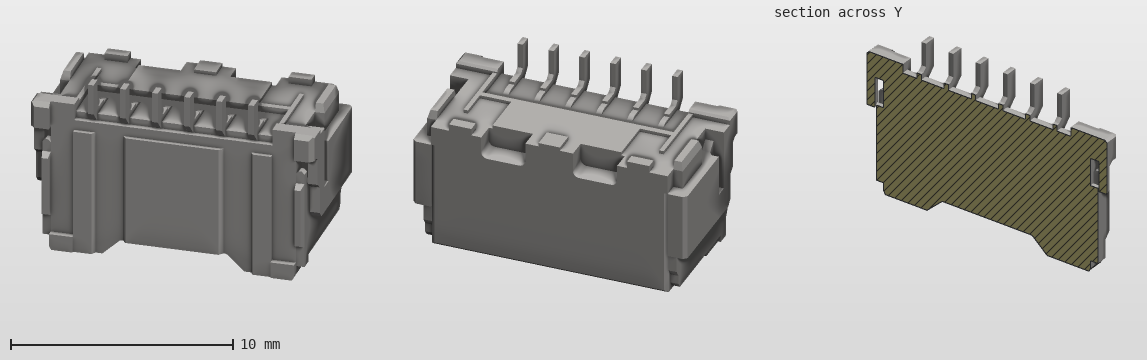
import cadquery as cq


WIDTH = 13.3
DEPTH = 6.4
HEIGHT = 8.5

HALF_WIDTH = WIDTH / 2
CORE_HALF = 5.75
PANEL_Y = 0.37
PROUD_Y = 0.07
CORE_BOTTOM = 0.77
SIDE_TOP = 6.92
ROOF_TOP = 7.08
BLOCK_TOP = 7.25
LEDGE_Z = 5.98
WALL_BOTTOM = 2.74
REAR_CHAMFER = 0.17
SKIRT_TOP = 0.95

WALL_FRONT_Y = 0.78
WALL_HEEL_Y = 1.38
WALL_SLOPE_TOP = 4.58

BAY_HALF = 4.64
BAY_BACK_Y = 2.95
BAY_FLOOR = 6.78
BAY_STEP_Y = 0.65
BAY_FRONT_FLOOR = 6.46

PLATE_HALF = 6.15
PLATE_TOP = 5.32

PIN_COUNT = 6
PIN_PITCH = 1.5
PIN_WIDTH = 0.27
PIN_POST_DEPTH = 0.63

NOTCH_INNER = 1.16
NOTCH_OUTER = 3.3
NOTCH_FRONT_Y = 5.48
NOTCH_FLOOR = 5.98
NOTCH_TILT = 8.0
NOTCH_RADIUS = 0.29


def box(x0, x1, y0, y1, z0, z1):
    """Axis-aligned box between two opposite corners."""
    return cq.Workplane("XY").box(x1 - x0, y1 - y0, z1 - z0, centered=False).translate((x0, y0, z0))


def side_profile(points, x0, x1):
    """Extrude an outline given as (y, z) points from x0 to x1."""
    return cq.Workplane("YZ").polyline(points).close().extrude(x1 - x0).translate((x0, 0, 0))


def front_profile(points):
    """Extrude an outline given as (x, z) points through the full depth."""
    return cq.Workplane("XZ").polyline(points).close().extrude(-DEPTH)


def plan_profile(points, z0, z1):
    """Extrude an outline given as (x, y) points from z0 to z1."""
    return cq.Workplane("XY").polyline(points).close().extrude(z1 - z0).translate((0, 0, z0))


def both_sides(shape):
    """Join a shape on the +X side with its mirror image."""
    return shape.union(shape.mirror("YZ"))


def core():
    """Central block with chamfered rear corners below the ledge."""
    bottom_chamfer = 0.13
    lower = box(-CORE_HALF, CORE_HALF, PANEL_Y, DEPTH, CORE_BOTTOM, LEDGE_Z)
    lower = lower.edges("|Z and >Y").chamfer(REAR_CHAMFER)
    lower = lower.edges("<Z and >Y").chamfer(bottom_chamfer)
    upper = box(-CORE_HALF, CORE_HALF, PANEL_Y, DEPTH, LEDGE_Z, SIDE_TOP)
    return lower.union(upper)


def skirt():
    """Front skirt below the housing, with a wide trapezoid gap in the middle."""
    back_y = 1.72
    slope_bottom = 0.65
    slope_back_y = 2.02
    gap_half = 2.49
    gap_foot_half = 3.32
    gap_radius = 0.2
    bottom_chamfer = 0.2
    side_chamfer = 0.1
    outline = [
        (PANEL_Y, 0), (back_y - bottom_chamfer, 0), (back_y, bottom_chamfer),
        (back_y, slope_bottom), (slope_back_y, SKIRT_TOP), (PANEL_Y, SKIRT_TOP),
    ]
    foot = both_sides(box(BAY_HALF, CORE_HALF, PROUD_Y, back_y - bottom_chamfer, 0, CORE_BOTTOM))
    body = side_profile(outline, -CORE_HALF, CORE_HALF).union(foot)
    end_bevel = front_profile(
        [(CORE_HALF - side_chamfer, 0), (CORE_HALF, bottom_chamfer), (CORE_HALF, 0)]
    )
    gap = front_profile(
        [(-gap_foot_half, 0), (gap_foot_half, 0), (gap_half, CORE_BOTTOM), (-gap_half, CORE_BOTTOM)]
    )
    gap = gap.edges("|Y and >Z").fillet(gap_radius)
    return body.cut(both_sides(end_bevel)).cut(gap)


def side_wall():
    """Thick +X side wall: ledge, front column and the slot between them."""
    slot_front_y = 1.89
    slot_back_y = 2.5
    slot_inner_y = 2.29
    slot_bevel_x = 6.29
    slot_bottom = 3.99
    gusset_rise = 0.37
    column_front_y = 0.59
    recess_half = 6.18
    step_y = 1.1
    step_bottom = 3.03
    step_top = 4.31
    bevel_rise = 0.17
    outline = [
        (DEPTH, WALL_BOTTOM), (WALL_HEEL_Y, WALL_BOTTOM), (step_y, step_bottom),
        (step_y, step_top), (WALL_FRONT_Y, WALL_SLOPE_TOP),
        (WALL_FRONT_Y, LEDGE_Z - bevel_rise), (column_front_y, LEDGE_Z), (column_front_y, SIDE_TOP),
        (slot_front_y, SIDE_TOP), (slot_front_y, LEDGE_Z), (DEPTH, LEDGE_Z),
    ]
    wall = side_profile(outline, CORE_HALF, HALF_WIDTH)
    wall = wall.edges("|Z and >Y and >X").chamfer(REAR_CHAMFER)
    slot = plan_profile(
        [
            (HALF_WIDTH, slot_front_y), (PLATE_HALF, slot_front_y), (PLATE_HALF, slot_inner_y),
            (slot_bevel_x, slot_back_y), (HALF_WIDTH, slot_back_y),
        ],
        slot_bottom, LEDGE_Z,
    )
    gusset = side_profile(
        [(slot_inner_y, LEDGE_Z), (slot_front_y, LEDGE_Z), (slot_front_y, LEDGE_Z + gusset_rise)],
        CORE_HALF, PLATE_HALF,
    )
    recess = box(CORE_HALF, recess_half, 0, WALL_HEEL_Y, WALL_BOTTOM, LEDGE_Z)
    return wall.cut(slot).cut(recess).union(gusset)


def front_block():
    """Chamfered +X corner block at the top of the front."""
    back_y = 1.18
    front_chamfer = 0.21
    side_chamfer = 0.12
    back_chamfer = 0.1
    bar = box(BAY_HALF, HALF_WIDTH, PANEL_Y, back_y, LEDGE_Z, BLOCK_TOP)
    ear = box(CORE_HALF, HALF_WIDTH, PROUD_Y, back_y, LEDGE_Z, BLOCK_TOP)
    ear = ear.edges("|Z and >X and <Y").chamfer(front_chamfer)
    ear = ear.edges("|X and >Z and <Y").chamfer(front_chamfer)
    block = bar.union(ear)
    block = block.edges("|Y and >X and >Z").chamfer(side_chamfer)
    return block.edges("|X and >Y and >Z").chamfer(back_chamfer)


def clip_plate():
    """Flat +X side plate with a tapered solder clip tab proud of its front edge."""
    plate_front = 0.41
    leg_back_y = 1.02
    leg_bottom = 0.59
    rear_y = 6.29
    rear_bottom = 1.93
    rear_foot_y = 5.9
    rear_step_y = 6.09
    rear_step_bottom = 1.2
    rear_step_top = 1.62
    top_chamfer = 0.13
    outline = [
        (plate_front, leg_bottom), (leg_back_y, leg_bottom), (leg_back_y, SKIRT_TOP), (rear_foot_y, SKIRT_TOP),
        (rear_step_y, rear_step_bottom), (rear_step_y, rear_step_top), (rear_y, rear_bottom),
        (rear_y, WALL_BOTTOM), (WALL_HEEL_Y, WALL_BOTTOM), (WALL_HEEL_Y, WALL_SLOPE_TOP),
        (WALL_FRONT_Y, WALL_SLOPE_TOP), (WALL_FRONT_Y, PLATE_TOP), (plate_front, PLATE_TOP),
    ]
    plate = side_profile(outline, CORE_HALF, PLATE_HALF)
    plate = plate.edges("|Y and >Z").chamfer(top_chamfer)

    tab_base_top = 4.72
    tab_base_bottom = 1.58
    tab_top = 4.55
    tab_bottom = 1.77
    tab_outer_taper = 0.08
    tab_inner_taper = 0.04
    tab = side_profile(
        [
            (plate_front, tab_base_top), (PANEL_Y, tab_base_top), (0, tab_top),
            (0, tab_bottom), (PANEL_Y, tab_base_bottom), (plate_front, tab_base_bottom),
        ],
        CORE_HALF, PLATE_HALF,
    )
    tab_taper = plan_profile(
        [
            (CORE_HALF, plate_front), (CORE_HALF, PANEL_Y), (CORE_HALF + tab_inner_taper, 0),
            (PLATE_HALF - tab_outer_taper, 0), (PLATE_HALF, PANEL_Y), (PLATE_HALF, plate_front),
        ],
        0, PLATE_TOP,
    )
    return plate.union(tab.intersect(tab_taper))


def latch_tab():
    """+X latch tab standing on the side ledge with a tapered top."""
    front_y = 3.39
    back_y = 5.7
    base_half = 6.2
    taper_z = 6.89
    top_z = 7.29
    front_taper = 0.16
    back_taper = 0.13
    outer_taper = 0.1
    post = side_profile(
        [
            (front_y, LEDGE_Z), (back_y, LEDGE_Z), (back_y, taper_z), (back_y - back_taper, top_z),
            (front_y + front_taper, top_z), (front_y, taper_z),
        ],
        CORE_HALF, base_half,
    )
    bevel = front_profile([(base_half, taper_z), (base_half, top_z), (base_half - outer_taper, top_z)])
    return post.cut(bevel)


def roof():
    """Raised middle of the roof with its rails and pads."""
    middle_half = 3.13
    band_back_y = 3.25
    rail_outer = 4.85
    rail_back_y = 4.68
    end_pad_inner = 3.78
    end_pad_front_y = 5.87
    middle_pad_half = 0.52
    middle_pad_front_y = 5.39
    shape = box(-middle_half, middle_half, BAY_BACK_Y, DEPTH, SIDE_TOP, ROOF_TOP)
    shape = shape.union(box(-BAY_HALF, BAY_HALF, BAY_BACK_Y, band_back_y, SIDE_TOP, ROOF_TOP))
    shape = shape.union(both_sides(box(BAY_HALF, rail_outer, PANEL_Y, rail_back_y, SIDE_TOP, ROOF_TOP)))
    end_pad = box(end_pad_inner, rail_outer, end_pad_front_y, DEPTH, SIDE_TOP, BLOCK_TOP)
    shape = shape.union(both_sides(end_pad))
    middle_pad = box(-middle_pad_half, middle_pad_half, middle_pad_front_y, DEPTH, SIDE_TOP, BLOCK_TOP)
    return shape.union(middle_pad)


def pin_bay():
    """Volume removed above the stepped floor of the pin bay."""
    return side_profile(
        [
            (0, BAY_FRONT_FLOOR), (BAY_STEP_Y, BAY_FRONT_FLOOR), (BAY_STEP_Y, BAY_FLOOR),
            (BAY_BACK_Y, BAY_FLOOR), (BAY_BACK_Y, HEIGHT), (0, HEIGHT),
        ],
        -BAY_HALF, BAY_HALF,
    )


def rear_notch():
    """Volume of the +X rear notch: round-cornered channel falling to the rear."""
    length = 2 * DEPTH
    channel = box(NOTCH_INNER, NOTCH_OUTER, -DEPTH, DEPTH, 0, length)
    channel = channel.edges("|Y and <Z").fillet(NOTCH_RADIUS)
    channel = channel.rotate((0, 0, 0), (1, 0, 0), -NOTCH_TILT).translate((0, NOTCH_FRONT_Y, NOTCH_FLOOR))
    return channel.intersect(box(0, HALF_WIDTH, NOTCH_FRONT_Y, DEPTH, 0, HEIGHT))


def front_ribs():
    """Flat ribs on the front panel: a wide middle one and two outer strips."""
    rib_y = 0.16
    middle_top_half = 2.18
    middle_base_half = 2.35
    strip_inner_base = 3.65
    strip_inner_top = 3.78
    middle = plan_profile(
        [
            (-middle_base_half, PANEL_Y), (-middle_top_half, rib_y),
            (middle_top_half, rib_y), (middle_base_half, PANEL_Y),
        ],
        CORE_BOTTOM, LEDGE_Z,
    )
    strip = plan_profile(
        [(strip_inner_base, PANEL_Y), (strip_inner_top, rib_y), (BAY_HALF, rib_y), (BAY_HALF, PANEL_Y)],
        0, LEDGE_Z,
    )
    return middle.union(both_sides(strip))


def pin():
    """One bent pin centred on X = 0: upright post and stepped tail on the bay floor."""
    tail_end_y = 2.34
    tip_y = 1.93
    step_y = 1.61
    tip_z = 6.94
    foot_z = 6.55
    foot_y = 0.5
    bevel_z = 7.05
    heel = 0.2
    tip_arc_middle = (2.17, 6.89)
    outline = (
        cq.Workplane("YZ")
        .moveTo(0, bevel_z)
        .lineTo(0, HEIGHT)
        .lineTo(PIN_POST_DEPTH, HEIGHT)
        .lineTo(PIN_POST_DEPTH, ROOF_TOP + heel)
        .lineTo(PIN_POST_DEPTH + heel, ROOF_TOP)
        .lineTo(step_y, ROOF_TOP)
        .lineTo(step_y, tip_z)
        .lineTo(tip_y, tip_z)
        .threePointArc(tip_arc_middle, (tail_end_y, BAY_FLOOR))
        .lineTo(tail_end_y, foot_z)
        .lineTo(foot_y, foot_z)
        .close()
    )
    return outline.extrude(PIN_WIDTH / 2, both=True)


housing = core().union(skirt()).union(front_ribs())
housing = housing.union(roof())
for side_part in (side_wall(), front_block(), clip_plate(), latch_tab()):
    housing = housing.union(both_sides(side_part))
housing = housing.cut(pin_bay()).cut(both_sides(rear_notch()))

for index in range(PIN_COUNT):
    pin_x = (index - (PIN_COUNT - 1) / 2) * PIN_PITCH
    housing = housing.union(pin().translate((pin_x, 0, 0)))

result = housing